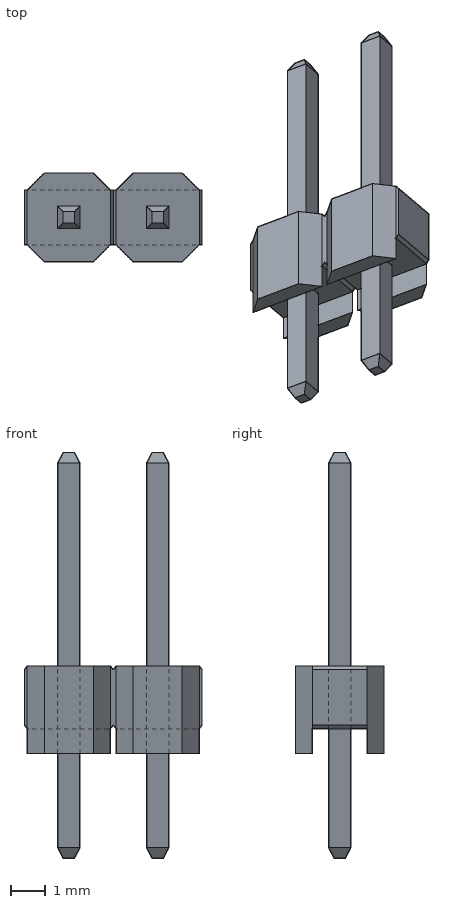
import cadquery as cq

PIN_COUNT = 2
PITCH = 2.54

PIN_LENGTH = 11.6
PIN_WIDTH = 0.64
TIP_WIDTH = 0.32
TIP_HEIGHT = 0.3

HOUSING_BOTTOM = 2.99
HOUSING_HEIGHT = 2.5
HOUSING_DEPTH = PITCH
BLOCK_WIDTH = 2.38
CORNER_CUT = 0.49
CHANNEL_HEIGHT = 0.71
BRIDGE_BEVEL_HEIGHT = 0.1

HOUSING_TOP = HOUSING_BOTTOM + HOUSING_HEIGHT
CHANNEL_TOP = HOUSING_BOTTOM + CHANNEL_HEIGHT
ROW_LENGTH = PIN_COUNT * PITCH
BRIDGE_DEPTH = HOUSING_DEPTH - 2 * CORNER_CUT

PIN_POSITIONS = [(i - (PIN_COUNT - 1) / 2) * PITCH for i in range(PIN_COUNT)]


def make_pin(x):
    """Square pin with a pyramid-shaped taper at both ends."""
    shank_top = PIN_LENGTH - TIP_HEIGHT
    shank = (
        cq.Workplane("XY", origin=(x, 0, TIP_HEIGHT))
        .rect(PIN_WIDTH, PIN_WIDTH)
        .extrude(shank_top - TIP_HEIGHT)
    )
    upper_tip = (
        cq.Workplane("XY", origin=(x, 0, shank_top))
        .rect(PIN_WIDTH, PIN_WIDTH)
        .workplane(offset=TIP_HEIGHT)
        .rect(TIP_WIDTH, TIP_WIDTH)
        .loft()
    )
    lower_tip = upper_tip.mirror("XY", (0, 0, PIN_LENGTH / 2))
    return shank.union(upper_tip).union(lower_tip)


def make_block(x):
    """Octagonal block around one pin."""
    return (
        cq.Workplane("XY", origin=(x, 0, HOUSING_BOTTOM))
        .rect(BLOCK_WIDTH, HOUSING_DEPTH)
        .extrude(HOUSING_HEIGHT)
        .edges("|Z")
        .chamfer(CORNER_CUT)
    )


def make_bridge(x):
    """Bar one pitch long through a block, its protruding ends bevelled above and below."""
    half_block = BLOCK_WIDTH / 2
    half_pitch = PITCH / 2
    bevel_bottom = HOUSING_TOP - BRIDGE_BEVEL_HEIGHT
    bevel_top = CHANNEL_TOP + BRIDGE_BEVEL_HEIGHT
    return (
        cq.Workplane("XZ", origin=(x, 0, 0))
        .moveTo(-half_block, CHANNEL_TOP)
        .lineTo(half_block, CHANNEL_TOP)
        .lineTo(half_pitch, bevel_top)
        .lineTo(half_pitch, bevel_bottom)
        .lineTo(half_block, HOUSING_TOP)
        .lineTo(-half_block, HOUSING_TOP)
        .lineTo(-half_pitch, bevel_bottom)
        .lineTo(-half_pitch, bevel_top)
        .close()
        .extrude(BRIDGE_DEPTH / 2, both=True)
    )


def make_housing():
    """Joined blocks with a channel underneath and a square hole for each pin."""
    housing = cq.Workplane("XY")
    for x in PIN_POSITIONS:
        housing = housing.union(make_block(x)).union(make_bridge(x))

    channel = (
        cq.Workplane("XY", origin=(0, 0, HOUSING_BOTTOM))
        .rect(ROW_LENGTH, BRIDGE_DEPTH)
        .extrude(CHANNEL_HEIGHT)
    )
    pin_holes = (
        cq.Workplane("XY", origin=(0, 0, HOUSING_BOTTOM))
        .pushPoints([(x, 0) for x in PIN_POSITIONS])
        .rect(PIN_WIDTH, PIN_WIDTH)
        .extrude(HOUSING_HEIGHT)
    )
    return housing.cut(channel).cut(pin_holes)


housing = make_housing()
pins = [make_pin(x) for x in PIN_POSITIONS]

result = cq.Compound.makeCompound([housing.solids().val(), *[pin.solids().val() for pin in pins]])